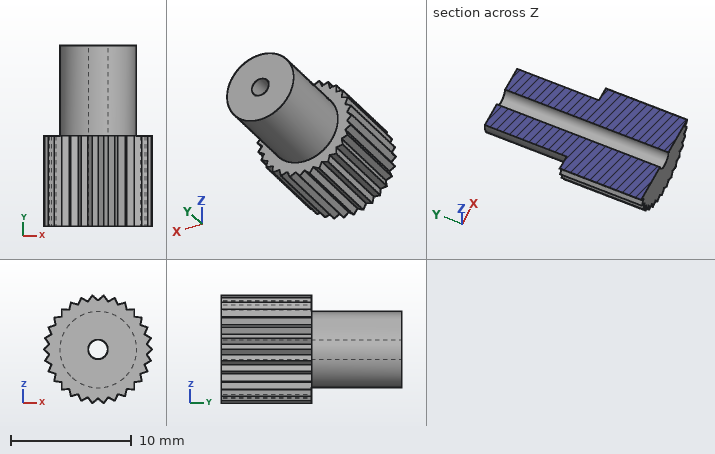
import cadquery as cq
import math

tooth_count = 30
tip_radius = 4.5
root_radius = 4.07
gear_length = 7.5
hub_diameter = 6.35
hub_length = 7.5
bore_diameter = 1.6

total_length = gear_length + hub_length


def polar_point(radius, angle):
    return (radius * math.cos(angle), radius * math.sin(angle))


def serrated_outline():
    """Corner points of the toothed section: sharp tips alternating with sharp roots."""
    pitch_angle = 2 * math.pi / tooth_count
    points = []
    for tooth in range(tooth_count):
        tip_angle = tooth * pitch_angle
        points.append(polar_point(tip_radius, tip_angle))
        points.append(polar_point(root_radius, tip_angle + pitch_angle / 2))
    return points


def extrude_along_y(sketch, length):
    """Extrude an XZ profile toward +Y (the XZ plane normal points to -Y)."""
    return sketch.extrude(-length)


gear = extrude_along_y(cq.Workplane("XZ").polyline(serrated_outline()).close(), gear_length)

hub = extrude_along_y(cq.Workplane("XZ").circle(hub_diameter / 2), total_length)

bore = extrude_along_y(cq.Workplane("XZ").circle(bore_diameter / 2), total_length)

result = gear.union(hub).cut(bore)